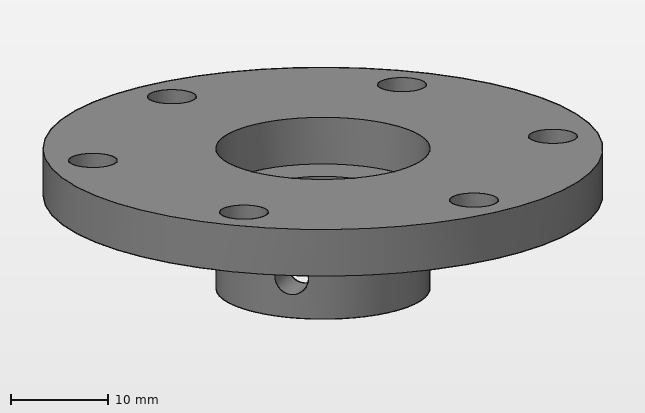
import cadquery as cq

plate_diameter = 57.5
plate_thickness = 5.0
bolt_circle_diameter = 48.0
bolt_hole_diameter = 5.0
bolt_hole_count = 6
first_bolt_angle = 27.5

hub_diameter = 22.0
hub_length = 10.0
bore_diameter = 13.25

screw_hole_diameter = 3.6
screw_hole_height = 4.3


def make_plate():
    return (
        cq.Workplane("XY")
        .circle(plate_diameter / 2)
        .circle(hub_diameter / 2)
        .extrude(plate_thickness)
        .faces(">Z")
        .workplane(origin=(0, 0, plate_thickness))
        .polarArray(bolt_circle_diameter / 2, first_bolt_angle, 360, bolt_hole_count)
        .hole(bolt_hole_diameter)
    )


def make_screw_hole_cutter():
    return (
        cq.Workplane("XZ", origin=(0, 0, screw_hole_height - hub_length))
        .circle(screw_hole_diameter / 2)
        .extrude(hub_diameter / 2)
    )


def make_hub():
    sleeve = (
        cq.Workplane("XY")
        .workplane(offset=-hub_length)
        .circle(hub_diameter / 2)
        .circle(bore_diameter / 2)
        .extrude(hub_length)
    )
    return sleeve.cut(make_screw_hole_cutter())


plate = make_plate()
hub = make_hub()

result = cq.Compound.makeCompound([plate.val(), hub.val()])